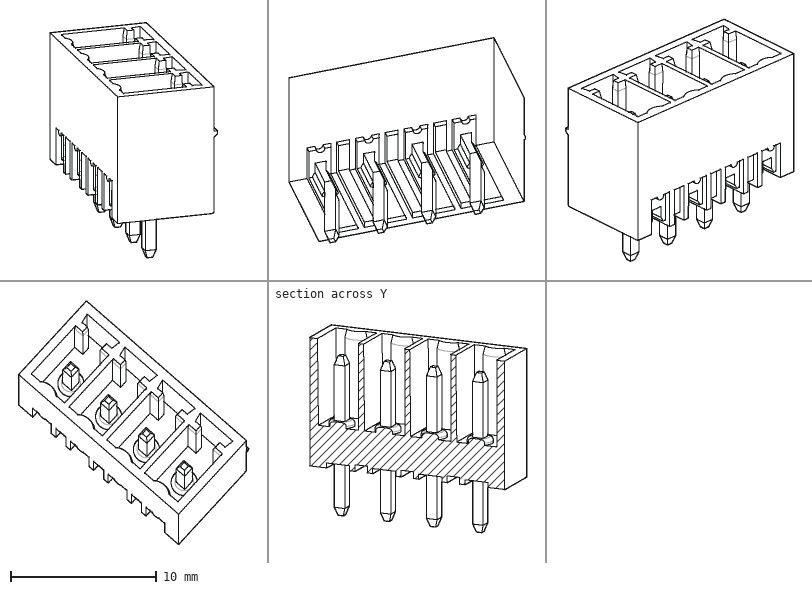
import cadquery as cq


length = 14.8
depth = 7.0
height = 9.19
rear_chamfer = 0.1

rail_projection = 0.25
rail_top = 5.98
rail_tip_height = 0.2

pole_count = 4
pitch = 3.5
pole_y = 2.99
pole_xs = [(i - (pole_count - 1) / 2) * pitch for i in range(pole_count)]
gap_xs = [x + pitch / 2 for x in pole_xs[:-1]]

pin_size = 0.8
pin_tip_size = 0.4
pin_taper = 0.6
pin_top = 7.99
pin_bottom = -3.4
pin_front = pole_y - pin_size / 2

pocket_floor = 3.0
pocket_half_width = 1.54
side_draft = 0.07
front_wall = 0.62
shoulder_front = 5.09
shoulder_back = 5.67
pocket_back = 6.33
neck_half_width = 0.78
recess_inner_half_width = 1.38
recess_outer_half_width = 1.5
lead_in = 0.1
lead_in_height = 0.59
flare_start = height - lead_in_height
bulge_radius = 1.18
bulge_height = 0.37
bulge_y = front_wall + bulge_height - bulge_radius

collar_diameter = 1.8
collar_height = 0.4
collar_fillet = 0.25

window_top = 2.7
window_depth = 0.41
pole_window_width = 1.72
gap_window_width = 0.92
pole_channel_height = 0.35
gap_channel_height = 0.47
lug_radius = 0.3
slot_top = 1.55
arch_radius = 0.59
arch_z = 0.28


def box(width, y0, y1, z0, z1):
    """Block centred on X = 0, between two Y and two Z positions."""
    block = cq.Workplane("XY").box(width, y1 - y0, z1 - z0, centered=(True, False, False))
    return block.translate((0, y0, z0))


def make_housing():
    """Plain housing block with the rail on its rear face."""
    rail_tip_bottom = rail_top - rail_tip_height
    profile = [
        (0, 0),
        (depth - rear_chamfer, 0),
        (depth, rear_chamfer),
        (depth, rail_tip_bottom - rail_projection),
        (depth + rail_projection, rail_tip_bottom),
        (depth + rail_projection, rail_top),
        (depth, rail_top),
        (depth, height),
        (0, height),
    ]
    return cq.Workplane("YZ").polyline(profile).close().extrude(length / 2, both=True)


def prism(outline, z0, z1):
    return cq.Workplane("XY").workplane(offset=z0).polyline(outline).close().extrude(z1 - z0)


def tapered_prism(lower_outline, upper_outline, z0, z1):
    lower = cq.Workplane("XY").workplane(offset=z0).polyline(lower_outline).close()
    return lower.workplane(offset=z1 - z0).polyline(upper_outline).close().loft(ruled=True)


def chamber_outline(right_half_width):
    return [
        (-pocket_half_width, front_wall),
        (right_half_width, front_wall),
        (right_half_width, shoulder_back),
        (-pocket_half_width, shoulder_back),
    ]


def shoulder_outline(side, setback):
    """Shoulder beside the pocket neck; setback moves its two free faces away from the pocket."""
    wall_x = side * pocket_half_width
    neck_x = side * (neck_half_width + setback)
    front_y = shoulder_front + setback
    return [(wall_x, front_y), (neck_x, front_y), (neck_x, shoulder_back), (wall_x, shoulder_back)]


def make_shoulder(side):
    full = shoulder_outline(side, 0)
    mouth = shoulder_outline(side, lead_in)
    lower = prism(full, pocket_floor, flare_start)
    return lower.union(tapered_prism(full, mouth, flare_start, height))


def make_bulge():
    """Rounded swelling of the front wall, narrowing at the mouth."""
    lower_height = flare_start - pocket_floor
    lower = cq.Workplane("XY").workplane(offset=pocket_floor).circle(bulge_radius).extrude(lower_height)
    upper = (
        lower.faces(">Z")
        .workplane()
        .circle(bulge_radius)
        .workplane(offset=lead_in_height)
        .circle(bulge_radius - lead_in)
        .loft(combine=False)
    )
    return lower.union(upper).translate((0, bulge_y, 0))


def make_pocket():
    """Pocket with a drafted right wall, a neck between two shoulders and a flared recess behind it."""
    floor_outline = chamber_outline(pocket_half_width - side_draft)
    mouth_outline = chamber_outline(pocket_half_width)
    chamber = tapered_prism(floor_outline, mouth_outline, pocket_floor, height)
    recess_outline = [
        (-recess_inner_half_width, shoulder_back),
        (recess_inner_half_width, shoulder_back),
        (recess_outer_half_width, pocket_back),
        (-recess_outer_half_width, pocket_back),
    ]
    recess = prism(recess_outline, pocket_floor, height)
    return chamber.cut(make_shoulder(-1)).cut(make_shoulder(1)).cut(make_bulge()).union(recess)


def make_pole_window():
    """Front window, underside channel and the passage from the window to the pin."""
    window = box(pole_window_width, 0, window_depth, 0, window_top)
    lug = cq.Workplane("XZ").center(0, window_top).circle(lug_radius).extrude(-window_depth)
    channel = box(pole_window_width, 0, pocket_back, 0, pole_channel_height)
    slot = box(pin_size, 0, pin_front, 0, slot_top)
    arch = cq.Workplane("XZ").center(0, arch_z).circle(arch_radius).extrude(-pin_front)
    cone_base = cq.Vector(0, pin_front, arch_z)
    arch_end = cq.Workplane(cq.Solid.makeCone(arch_radius, 0, arch_radius, cone_base, cq.Vector(0, 1, 0)))
    below = box(pole_window_width, 0, depth, -arch_radius, 0)
    return window.cut(lug).union(channel).union(slot).union(arch).union(arch_end).cut(below)


def make_gap_window():
    """Front window and underside channel between two poles."""
    window = box(gap_window_width, 0, window_depth, 0, window_top)
    return window.union(box(gap_window_width, 0, pocket_back, 0, gap_channel_height))


def make_collar():
    """Disc on the pocket floor with a rounded top rim."""
    return (
        cq.Workplane("XY")
        .workplane(offset=pocket_floor)
        .circle(collar_diameter / 2)
        .extrude(collar_height)
        .faces(">Z")
        .edges()
        .fillet(collar_fillet)
        .translate((0, pole_y, 0))
    )


def make_pin():
    """Square pin tapered at both ends."""

    def tip(z, direction):
        return (
            cq.Workplane("XY")
            .workplane(offset=z)
            .rect(pin_size, pin_size)
            .workplane(offset=direction * pin_taper)
            .rect(pin_tip_size, pin_tip_size)
            .loft(ruled=True)
        )

    shaft_bottom = pin_bottom + pin_taper
    shaft_top = pin_top - pin_taper
    shaft = box(pin_size, -pin_size / 2, pin_size / 2, shaft_bottom, shaft_top)
    return shaft.union(tip(shaft_top, 1)).union(tip(shaft_bottom, -1)).translate((0, pole_y, 0))


pole_cut = make_pocket().union(make_pole_window())
pole_solid = make_collar().union(make_pin())
gap_cut = make_gap_window()

result = make_housing()
for x in gap_xs:
    result = result.cut(gap_cut.translate((x, 0, 0)))
for x in pole_xs:
    result = result.cut(pole_cut.translate((x, 0, 0)))
    result = result.union(pole_solid.translate((x, 0, 0)))